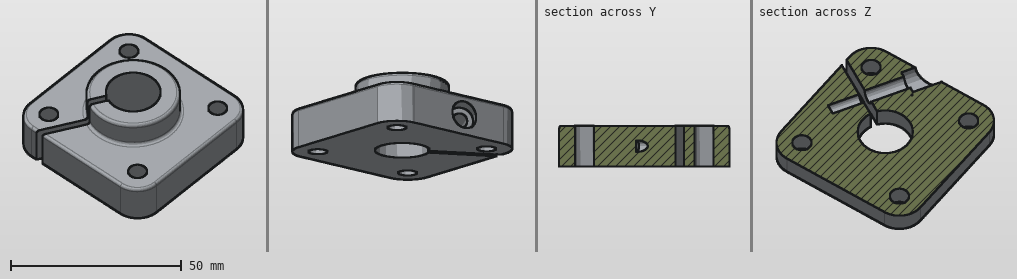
import cadquery as cq

side = 50.0
flange_height = 12.0
corner_radius = 7.5
edge_fillet = 0.9

hub_diameter = 27.5
total_height = 20.0
bore_diameter = 16.0
hub_fillet = 1.0

mount_spacing = 35.0
mount_diameter = 5.5

slit_width = 2.0
slit_angle = -120.0

screw_offset = 14.4
screw_height = flange_height / 2
head_diameter = 8.0
clearance_diameter = 4.5
thread_diameter = 3.25
head_seat = 13.7
thread_depth = 11.0


def make_body():
    """Flange and hub with rounded rims and a fillet where they meet."""
    flange = (
        cq.Workplane("XY")
        .rect(side, side)
        .extrude(flange_height)
        .edges("|Z")
        .fillet(corner_radius)
        .faces(">Z")
        .edges()
        .fillet(edge_fillet)
    )
    hub = cq.Workplane("XY").circle(hub_diameter / 2).extrude(total_height)
    hub = hub.rotate((0, 0, 0), (0, 0, 1), slit_angle)
    body = flange.union(hub)
    body = body.faces(">Z").edges().fillet(hub_fillet)
    hub_foot = cq.selectors.RadiusNthSelector(-1)
    return body.edges("%CIRCLE").edges(hub_foot).fillet(hub_fillet)


def make_slit():
    """Slab from the bore axis outward past the front face."""
    slab = cq.Workplane("XY").box(side, slit_width, total_height, centered=(False, True, False))
    return slab.rotate((0, 0, 0), (0, 0, 1), slit_angle)


def screw_section(diameter, start, end):
    """Cylinder on the screw axis; distances run from the slit's middle plane."""
    section = (
        cq.Workplane("XZ", origin=(screw_offset, start, screw_height))
        .circle(diameter / 2)
        .extrude(start - end)
    )
    return section.rotate((0, 0, 0), (0, 0, 1), slit_angle)


body = make_body()
body = body.cut(cq.Workplane("XY").circle(bore_diameter / 2).extrude(total_height))
mount_holes = (
    cq.Workplane("XY")
    .rect(mount_spacing, mount_spacing, forConstruction=True)
    .vertices()
    .circle(mount_diameter / 2)
    .extrude(flange_height)
)
body = body.cut(mount_holes).cut(make_slit())
body = body.cut(screw_section(head_diameter, -side / 2, -head_seat))
body = body.cut(screw_section(clearance_diameter, -head_seat, 0))
result = body.cut(screw_section(thread_diameter, 0, thread_depth))